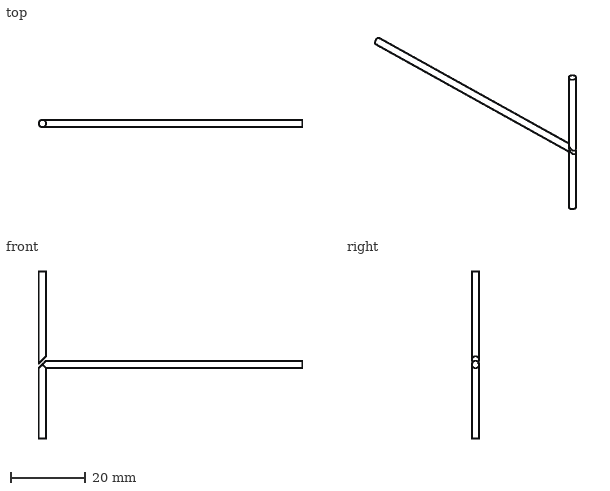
import cadquery as cq

overall_length = 71.0
overall_height = 45.0
rod_diameter = 2.0
rod_radius = rod_diameter / 2
leg_length = 19.95
joint_gap = 1.2

arm_end = overall_length - rod_radius
upright_top = overall_height - leg_length
elbow_bevel_height = 0.0
upper_bevel_height = elbow_bevel_height + joint_gap


def space_below_bevel(crossing_height):
    """Block filling the space below the plane Z = X + crossing_height."""
    left = -rod_diameter
    right = arm_end + rod_diameter
    bottom = -leg_length - rod_diameter
    outline = [
        (left, bottom),
        (right, bottom),
        (right, right + crossing_height),
        (left, left + crossing_height),
    ]
    return cq.Workplane("XZ").polyline(outline).close().extrude(rod_diameter, both=True)


def make_elbow():
    """Leg and arm meeting at a right angle, with the outer corner bevelled."""
    leg_length_to_corner = leg_length + rod_radius
    leg = (
        cq.Workplane("XY", origin=(0, 0, -leg_length))
        .circle(rod_radius)
        .extrude(leg_length_to_corner)
    )
    arm = (
        cq.Workplane("YZ", origin=(-rod_radius, 0, 0))
        .circle(rod_radius)
        .extrude(overall_length)
    )
    reach = overall_length + leg_length
    arm_side = (
        cq.Workplane("XZ")
        .polyline([(-reach, reach), (reach, reach), (reach, -reach)])
        .close()
        .extrude(rod_diameter, both=True)
    )
    mitred_elbow = leg.cut(arm_side).union(arm.intersect(arm_side))
    return mitred_elbow.intersect(space_below_bevel(elbow_bevel_height))


def make_upper_rod():
    """Upright rod whose lower end is cut parallel to the elbow's bevel."""
    rod = cq.Workplane("XY").circle(rod_radius).extrude(upright_top)
    return rod.cut(space_below_bevel(upper_bevel_height))


elbow = make_elbow()
upper_rod = make_upper_rod()

result = cq.Compound.makeCompound([elbow.val(), upper_rod.val()])